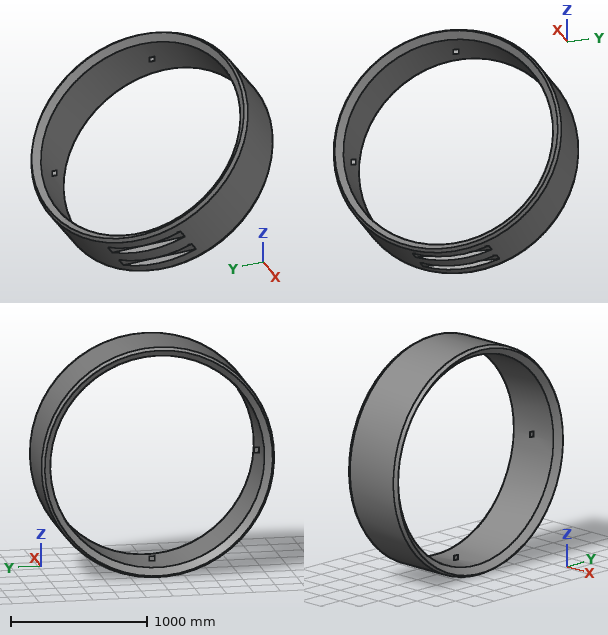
import cadquery as cq

ring_width = 514.24
outer_radius = 1740 / 2
inner_radius = 1600 / 2

end_edge_radius = 851.5
outer_bevel_length = 32
inner_bevel_length = 50

plate_count = 4
plate_width = 40
plate_thickness = 5
plate_tip_radius = 765
plate_embed = 10

slot_width = 80
slot_spacing = 200
slot_depth = 50


def make_ring():
    """Revolve the wall section about the X axis."""
    end_x = ring_width / 2
    outer_x = end_x - outer_bevel_length
    inner_x = end_x - inner_bevel_length
    section = (
        cq.Workplane("XZ")
        .moveTo(-end_x, end_edge_radius)
        .lineTo(-outer_x, outer_radius)
        .lineTo(outer_x, outer_radius)
        .lineTo(end_x, end_edge_radius)
        .lineTo(inner_x, inner_radius)
        .lineTo(-inner_x, inner_radius)
        .close()
    )
    return section.revolve(360, (0, 0, 0), (1, 0, 0))


def make_plate(angle):
    """One plate, rooted in the wall and turned about the X axis."""
    height = inner_radius + plate_embed - plate_tip_radius
    plate = cq.Workplane("XY").box(
        plate_thickness, plate_width, height, centered=(True, True, False)
    )
    return plate.translate((0, 0, plate_tip_radius)).rotate((0, 0, 0), (1, 0, 0), angle)


def make_slot(center_x):
    """Cutter for one slot, open below and at both Y ends."""
    cutter = cq.Workplane("XY").box(
        slot_width, 2 * outer_radius, slot_depth, centered=(True, True, False)
    )
    return cutter.translate((center_x, 0, -outer_radius))


result = make_ring()
for index in range(plate_count):
    result = result.union(make_plate(index * 360 / plate_count))
for side in (-1, 1):
    result = result.cut(make_slot(side * slot_spacing / 2))